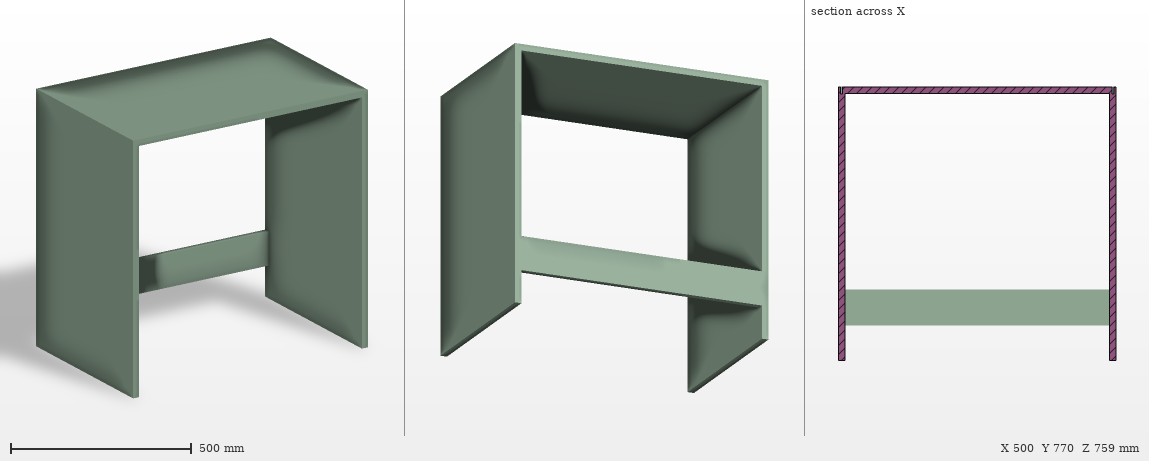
import cadquery as cq

depth = 500.0
width = 770.0
height = 759.0
board = 19.0

rail_height = 100.0
rail_bottom = 97.0

hole_diameter = 4.5
hole_spacing = 300.0


def make_top():
    top = cq.Workplane("XY", origin=(0, 0, height - board)).rect(depth, width).extrude(board)
    return (
        top.faces(">Z").workplane()
        .rect(hole_spacing, width - board, forConstruction=True)
        .vertices()
        .hole(hole_diameter, board)
    )


def make_side(direction):
    """Upright panel under the top; direction is -1 or 1 along Y."""
    centre_y = direction * (width - board) / 2
    return cq.Workplane("XY").center(0, centre_y).rect(depth, board).extrude(height - board)


def make_rail():
    centre_x = (board - depth) / 2
    rail = cq.Workplane("XY", origin=(centre_x, 0, rail_bottom))
    return rail.rect(board, width - 2 * board).extrude(rail_height)


result = make_top().union(make_rail())
for direction in (-1, 1):
    result = result.union(make_side(direction))